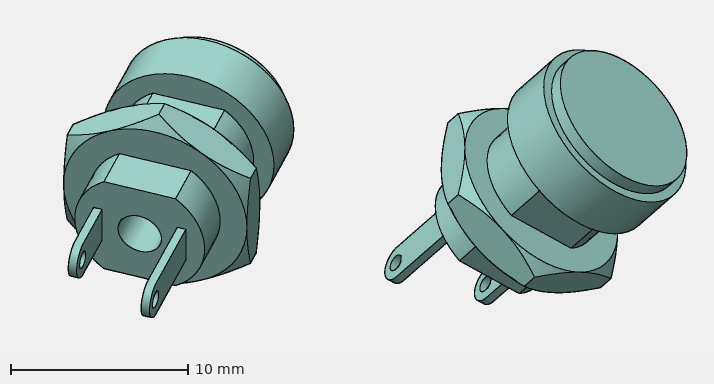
import cadquery as cq
import math

total_length = 18.2

lip_radius = 4.55
lip_length = 0.8
flange_radius = 5.11
flange_length = 3.3

barrel_radius = 3.9
barrel_across_flats = 6.5
body_length = 12.2
bore_diameter = 2.6
bore_depth = 4.0

nut_across_flats = 11.0
nut_thickness = 2.15
nut_rear_offset = 2.57
nut_chamfer_length = 0.6

tab_thickness = 0.51
tab_width = 2.3
tab_hole_diameter = 1.0
tab_offset = 2.51
tab_end_length = 1.0
short_tab_end = 1.8

barrel_rear = total_length - body_length
flange_front = total_length - lip_length
flange_rear = flange_front - flange_length
nut_rear = barrel_rear + nut_rear_offset


def cylinder(radius, y_start, y_end):
    """Solid cylinder on the Y axis."""
    return cq.Workplane("XZ", origin=(0, y_start, 0)).circle(radius).extrude(y_start - y_end)


def make_barrel():
    """Cylinder with flats on its top and bottom."""
    length = flange_rear - barrel_rear
    slab = cq.Workplane("XY").box(2 * barrel_radius, length, barrel_across_flats)
    slab = slab.translate((0, barrel_rear + length / 2, 0))
    return cylinder(barrel_radius, barrel_rear, flange_rear).intersect(slab)


def make_nut():
    """Hexagon with corners up and down, trimmed by a double-coned envelope."""
    flat_radius = nut_across_flats / 2
    corner_radius = flat_radius / math.cos(math.radians(30))
    nut_front = nut_rear + nut_thickness
    hexagon = (
        cq.Workplane("XZ", origin=(0, nut_rear, 0))
        .polygon(6, 2 * corner_radius)
        .extrude(-nut_thickness)
        .rotate((0, 0, 0), (0, 1, 0), 30)
    )
    envelope = (
        cq.Workplane("XY")
        .moveTo(0, nut_rear)
        .lineTo(flat_radius, nut_rear)
        .lineTo(corner_radius, nut_rear + nut_chamfer_length)
        .lineTo(corner_radius, nut_front - nut_chamfer_length)
        .lineTo(flat_radius, nut_front)
        .lineTo(0, nut_front)
        .close()
        .revolve(360, (0, 0, 0), (0, 1, 0))
    )
    return hexagon.intersect(envelope)


def make_tab(x_middle, y_end):
    """Flat tab with a rounded, drilled end."""
    half_width = tab_width / 2
    y_hole = y_end + tab_end_length
    return (
        cq.Workplane("YZ", origin=(x_middle - tab_thickness / 2, 0, 0))
        .moveTo(barrel_rear, -half_width)
        .lineTo(y_hole, -half_width)
        .threePointArc((y_end, 0), (y_hole, half_width))
        .lineTo(barrel_rear, half_width)
        .close()
        .moveTo(y_hole, 0)
        .circle(tab_hole_diameter / 2)
        .extrude(tab_thickness)
    )


bore = cylinder(bore_diameter / 2, barrel_rear, barrel_rear + bore_depth)

result = (
    cylinder(lip_radius, flange_front, total_length)
    .union(cylinder(flange_radius, flange_rear, flange_front))
    .union(make_barrel())
    .union(make_nut())
    .cut(bore)
    .union(make_tab(-tab_offset, short_tab_end))
    .union(make_tab(tab_offset, 0))
)